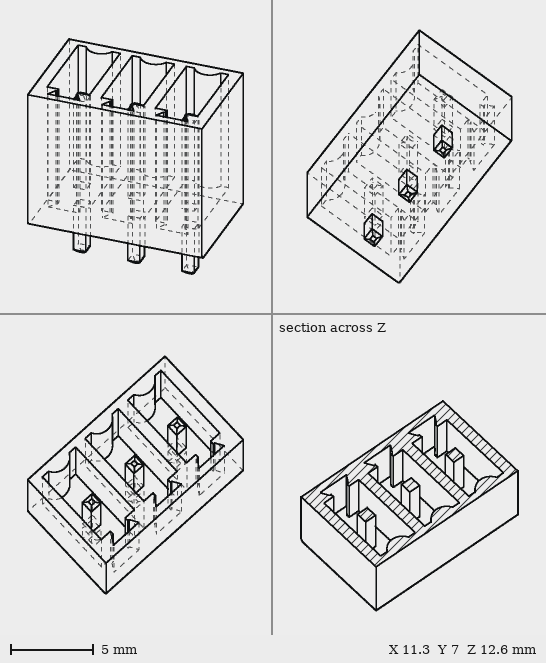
import cadquery as cq

housing_width = 11.28
housing_depth = 7.0
housing_height = 9.21
bottom_edge_radius = 0.25

contact_count = 3
contact_pitch = 3.5
contact_y = 0.1

floor_thickness = 1.26
cavity_width = 2.72
cavity_length = 5.25
back_wall = 0.48
cavity_back = housing_depth / 2 - back_wall
cavity_front = cavity_back - cavity_length

rib_width = 1.7
rib_height = 0.52

neck_width = 1.22
neck_length = 0.24
dovetail_inner_width = 1.44
dovetail_outer_width = 2.05
dovetail_length = 0.52
dovetail_start = cavity_front - neck_length
dovetail_end = dovetail_start - dovetail_length

pin_width = 0.8
pin_end_chamfer = 0.25
pin_tail_length = 3.39
pin_tip_recess = 1.51
pin_length = pin_tail_length + housing_height - pin_tip_recess


def make_housing():
    """Plain block with its lower front edge rounded."""
    block = cq.Workplane("XY").box(
        housing_width, housing_depth, housing_height, centered=(True, True, False)
    )
    return block.faces("<Y").edges("<Z").fillet(bottom_edge_radius)


def make_cavity(x):
    """Socket volume: rectangle with a round rib at the back and a dovetail at the front."""
    outline = (
        cq.Workplane("XY", origin=(x, 0, floor_thickness))
        .moveTo(-cavity_width / 2, cavity_back)
        .lineTo(-rib_width / 2, cavity_back)
        .threePointArc((0, cavity_back - rib_height), (rib_width / 2, cavity_back))
        .lineTo(cavity_width / 2, cavity_back)
        .lineTo(cavity_width / 2, cavity_front)
        .lineTo(neck_width / 2, cavity_front)
        .lineTo(neck_width / 2, dovetail_start)
        .lineTo(dovetail_inner_width / 2, dovetail_start)
        .lineTo(dovetail_outer_width / 2, dovetail_end)
        .lineTo(-dovetail_outer_width / 2, dovetail_end)
        .lineTo(-dovetail_inner_width / 2, dovetail_start)
        .lineTo(-neck_width / 2, dovetail_start)
        .lineTo(-neck_width / 2, cavity_front)
        .lineTo(-cavity_width / 2, cavity_front)
        .close()
    )
    return outline.extrude(housing_height - floor_thickness)


def make_pin(x):
    """Square pin running from below the housing up into the cavity."""
    bar = cq.Workplane("XY", origin=(x, contact_y, -pin_tail_length)).box(
        pin_width, pin_width, pin_length, centered=(True, True, False)
    )
    return bar.faces("<Z or >Z").chamfer(pin_end_chamfer)


contact_positions = [
    (index - (contact_count - 1) / 2) * contact_pitch for index in range(contact_count)
]

result = make_housing()
for contact_x in contact_positions:
    result = result.cut(make_cavity(contact_x))
    result = result.union(make_pin(contact_x))